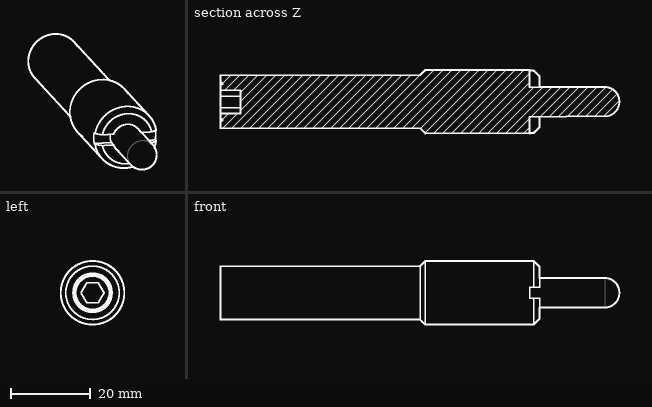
import cadquery as cq
import math

total_length = 100.0
shank_length = 50.0
shank_diameter = 13.4
body_length = 30.0
body_diameter = 16.0
body_chamfer = (body_diameter - shank_diameter) / 2
nose_chamfer = 1.5
pin_diameter = 7.5
slot_width = 2.8
slot_depth = 2.5

groove_outer_diameter = 9.8
groove_inner_diameter = 8.4
groove_depth = 0.6
hex_across_flats = 5.0
hex_depth = 5.0
hex_turn = 90.0

rear_x = -total_length / 2
shoulder_x = rear_x + shank_length
nose_x = shoulder_x + body_length
tip_x = total_length / 2


def revolve_about_x(profile):
    return profile.close().revolve(360, (0, 0, 0), (1, 0, 0))


def make_turned_body():
    """Shank, chamfered body and round-ended pin in one revolved outline."""
    shank_radius = shank_diameter / 2
    body_radius = body_diameter / 2
    pin_radius = pin_diameter / 2
    dome_x = tip_x - pin_radius
    diagonal = pin_radius * math.sqrt(0.5)
    profile = (
        cq.Workplane("XY")
        .moveTo(rear_x, 0)
        .lineTo(rear_x, shank_radius)
        .lineTo(shoulder_x, shank_radius)
        .lineTo(shoulder_x + body_chamfer, body_radius)
        .lineTo(nose_x - nose_chamfer, body_radius)
        .lineTo(nose_x, body_radius - nose_chamfer)
        .lineTo(nose_x, pin_radius)
        .lineTo(dome_x, pin_radius)
        .threePointArc((dome_x + diagonal, diagonal), (tip_x, 0))
    )
    return revolve_about_x(profile)


def make_driver_slot():
    """Slot across the nose face along Y, interrupted by the pin."""
    slot = cq.Workplane("XY").box(slot_depth, body_diameter, slot_width)
    slot = slot.translate((nose_x - slot_depth / 2, 0, 0))
    pin_root_x = nose_x - slot_depth
    pin = cq.Workplane("YZ", origin=(pin_root_x, 0, 0)).circle(pin_diameter / 2).extrude(slot_depth)
    return slot.cut(pin)


def make_ring_groove():
    """V groove between the set screw and the shank."""
    outer_radius = groove_outer_diameter / 2
    inner_radius = groove_inner_diameter / 2
    profile = (
        cq.Workplane("XY")
        .moveTo(rear_x, inner_radius)
        .lineTo(rear_x + groove_depth, (inner_radius + outer_radius) / 2)
        .lineTo(rear_x, outer_radius)
    )
    return revolve_about_x(profile)


def make_hex_socket():
    """Blind hexagon with corners on the Y axis."""
    return (
        cq.Workplane("YZ", origin=(rear_x, 0, 0))
        .polygon(6, hex_across_flats, circumscribed=True)
        .extrude(hex_depth)
        .rotate((0, 0, 0), (1, 0, 0), hex_turn)
    )


result = make_turned_body().cut(make_driver_slot()).cut(make_ring_groove()).cut(make_hex_socket())